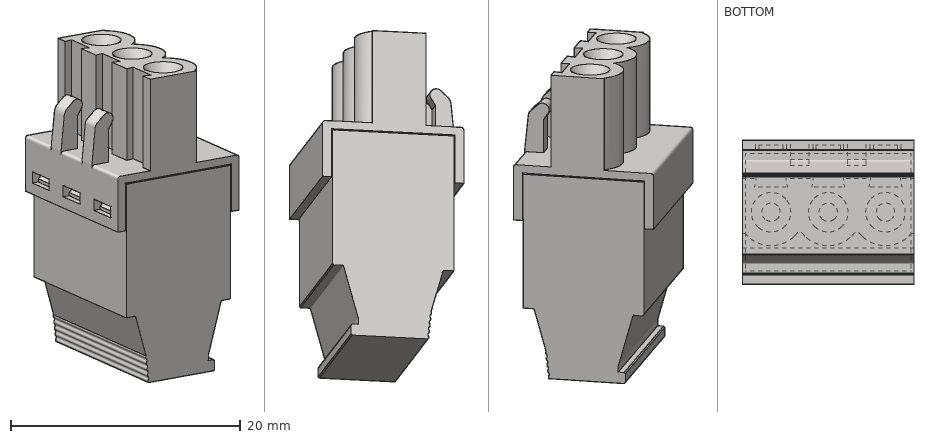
import cadquery as cq
import math


poles = 3
pitch = 5.0
width = poles * pitch
pole_centres = [(i - (poles - 1) / 2) * pitch for i in range(poles)]
pole_joints = [(i - poles / 2) * pitch for i in range(1, poles)]

total_height = 27.6
shoulder_z = 19.26
skirt_bottom_z = 14.21
body_bottom_z = 6.27

cap_depth = 12.59
cap_edge_fillet = 0.28
skirt_thickness = 0.8
cap_ceiling_z = 18.55

body_half_depth = 5.4
body_top_gap = 0.1
body_top_z = cap_ceiling_z - body_top_gap
core_inset = 0.28
body_edge_chamfer = 0.1

taper_top_y = 4.45
taper_fillet = 0.15
grip_top = (-3.37, 2.48)
grip_bottom = (-3.1, 0.0)
grip_arcs = 9
grip_arc_height = 0.05
waist_y = 3.12
waist_top_z = 1.57
toe_y = 3.75
toe_height = 1.02
toe_chamfer = 0.1

socket_radius = 2.93
socket_side_y = 1.85
socket_front_y = -2.93
funnel_top_diameter = 3.45
funnel_bottom_diameter = 1.6
funnel_depth = 1.75
dovetail_mouth_width = 2.62
dovetail_floor_width = 2.87
dovetail_depth = 0.75

hook_width = 1.6
hook_inner_y = -4.58
hook_top_z = 23.75
hook_nose_y = -4.08
hook_nose_radius = 0.58
hook_neck_z = 22.27
hook_outer_z = 22.83
hook_slope_angle = 42
hook_nose_middle_angle = 45
hook_nose_end_angle = -30
hook_corner_fillets = [1.0, 0.55]

window_width = 2.7
window_top_z = 16.25
window_bottom_z = 15.24
wedge_width = 2.13
wedge_top_z = 16.05
wedge_crest_z = 15.62
wedge_bottom_z = 15.32
wedge_height = 0.45


def extrude_across(profile, length, centre_x=0):
    """Extrude a closed YZ profile along X, centred on centre_x."""
    return profile.extrude(length / 2, both=True).translate((centre_x, 0, 0))


def block(size_x, y_range, z_range, centre_x=0):
    """Box given by its X size and its Y and Z limits."""
    y_low, y_high = y_range
    z_low, z_high = z_range
    return (
        cq.Workplane("XY")
        .box(size_x, y_high - y_low, z_high - z_low)
        .translate((centre_x, (y_low + y_high) / 2, (z_low + z_high) / 2))
    )


def make_cap():
    half_depth = cap_depth / 2
    inner_half_depth = half_depth - skirt_thickness
    cap = (
        block(width, (-half_depth, half_depth), (skirt_bottom_z, shoulder_z))
        .faces(">Z").edges("|X").fillet(cap_edge_fillet)
    )
    cavity = block(width, (-inner_half_depth, inner_half_depth), (skirt_bottom_z, cap_ceiling_z))
    cap = cap.cut(cavity)
    for x in pole_centres:
        window = block(window_width, (-half_depth, -inner_half_depth), (window_bottom_z, window_top_z), x)
        cap = cap.cut(window)
    return cap


def make_body():
    body = block(width, (-body_half_depth, body_half_depth), (body_bottom_z, body_top_z))
    body = body.edges("|X and >Y and <Z").chamfer(body_edge_chamfer)
    core_half_depth = body_half_depth - core_inset
    core = block(width - 2 * core_inset, (-core_half_depth, core_half_depth), (body_bottom_z, shoulder_z))
    body = body.union(core)
    for x in pole_centres:
        body = body.union(make_snap_wedge(x))
    return body


def make_snap_wedge(x):
    front_y = -body_half_depth
    crest_y = front_y - wedge_height
    profile = (
        cq.Workplane("YZ")
        .moveTo(front_y, wedge_top_z)
        .lineTo(crest_y, wedge_crest_z)
        .lineTo(crest_y, wedge_bottom_z)
        .lineTo(front_y, wedge_bottom_z)
        .close()
    )
    return extrude_across(profile, wedge_width, x)


def make_foot():
    step_y = (grip_bottom[0] - grip_top[0]) / grip_arcs
    step_z = (grip_bottom[1] - grip_top[1]) / grip_arcs
    chord = math.hypot(step_y, step_z)
    outward_y = step_z / chord
    outward_z = -step_y / chord
    profile = (
        cq.Workplane("YZ")
        .moveTo(-taper_top_y, body_bottom_z)
        .lineTo(*grip_top)
    )
    for i in range(grip_arcs):
        bulge = grip_arc_height if i % 2 == 0 else -grip_arc_height
        middle = (
            grip_top[0] + (i + 0.5) * step_y + bulge * outward_y,
            grip_top[1] + (i + 0.5) * step_z + bulge * outward_z,
        )
        end = (grip_top[0] + (i + 1) * step_y, grip_top[1] + (i + 1) * step_z)
        profile = profile.threePointArc(middle, end)
    profile = (
        profile
        .lineTo(toe_y - toe_chamfer, 0)
        .lineTo(toe_y, toe_chamfer)
        .lineTo(toe_y, toe_height - toe_chamfer)
        .lineTo(toe_y - toe_chamfer, toe_height)
        .lineTo(waist_y, toe_height)
        .lineTo(waist_y, waist_top_z)
        .lineTo(taper_top_y, body_bottom_z)
        .close()
    )
    return extrude_across(profile, width)


def make_sockets():
    height = total_height - shoulder_z
    socket_span = (shoulder_z, total_height)
    base = cq.Workplane("XY").workplane(offset=shoulder_z)
    sockets = block(width, (socket_front_y, 0), socket_span)
    for x in pole_centres:
        sleeve = base.center(x, 0).circle(socket_radius).extrude(height)
        sockets = sockets.union(sleeve.intersect(block(pitch, (0, socket_radius), socket_span, x)))
    for side in (-1, 1):
        wall_x = side * (width / 2 - pitch / 4)
        sockets = sockets.union(block(pitch / 2, (0, socket_side_y), socket_span, wall_x))
    for x in pole_centres:
        sockets = sockets.cut(make_dovetail(x)).cut(make_funnel(x))
    return sockets


def make_dovetail(x):
    floor_y = socket_front_y + dovetail_depth
    return (
        cq.Workplane("XY").workplane(offset=shoulder_z)
        .moveTo(x - dovetail_mouth_width / 2, socket_front_y)
        .lineTo(x + dovetail_mouth_width / 2, socket_front_y)
        .lineTo(x + dovetail_floor_width / 2, floor_y)
        .lineTo(x - dovetail_floor_width / 2, floor_y)
        .close()
        .extrude(total_height - shoulder_z)
    )


def make_funnel(x):
    return (
        cq.Workplane("XY").workplane(offset=total_height)
        .center(x, 0).circle(funnel_top_diameter / 2)
        .workplane(offset=-funnel_depth)
        .circle(funnel_bottom_diameter / 2)
        .loft(ruled=True)
    )


def make_hook(x, corner_fillet):
    root_z = shoulder_z - cap_edge_fillet
    outer_root_y = -cap_depth / 2
    nose_centre_y = hook_nose_y - hook_nose_radius
    nose_centre_z = hook_top_z - hook_nose_radius

    def nose_point(degrees):
        angle = math.radians(degrees)
        return (
            nose_centre_y + hook_nose_radius * math.cos(angle),
            nose_centre_z + hook_nose_radius * math.sin(angle),
        )

    slope_start = nose_point(hook_slope_angle + 90)
    slope_drop = slope_start[1] - hook_outer_z
    outer_corner_y = slope_start[0] - slope_drop / math.tan(math.radians(hook_slope_angle))
    profile = (
        cq.Workplane("YZ")
        .moveTo(outer_root_y, root_z)
        .lineTo(outer_root_y, shoulder_z)
        .lineTo(outer_corner_y, hook_outer_z)
        .lineTo(*slope_start)
        .threePointArc(nose_point(hook_nose_middle_angle), nose_point(hook_nose_end_angle))
        .lineTo(hook_inner_y, hook_neck_z)
        .lineTo(hook_inner_y, root_z)
        .close()
    )
    hook = extrude_across(profile, hook_width, x)
    outer_corner = cq.selectors.NearestToPointSelector((x, outer_corner_y, hook_outer_z))
    return hook.edges("|X").edges(outer_corner).fillet(corner_fillet)


def make_terminal_block():
    housing = make_body().union(make_foot())
    shoulder_corners = cq.selectors.BoxSelector(
        (-width, -taper_top_y - taper_fillet, body_bottom_z - taper_fillet),
        (width, taper_top_y + taper_fillet, body_bottom_z + taper_fillet),
    )
    housing = housing.edges("|X").edges(shoulder_corners).fillet(taper_fillet)
    housing = housing.union(make_cap()).union(make_sockets())
    for x, corner_fillet in zip(pole_joints, hook_corner_fillets):
        housing = housing.union(make_hook(x, corner_fillet))
    return housing


result = make_terminal_block()